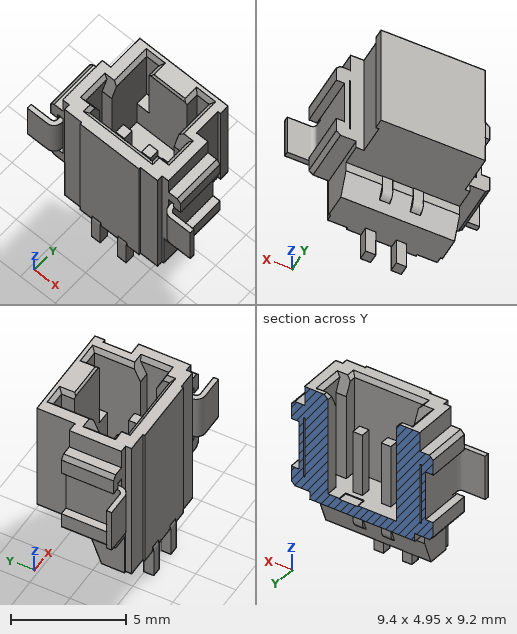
import cadquery as cq


HOUSING_TOP = 7.7
REAR_Y = 4.95
REAR_HALF_WIDTH = 2.55
REAR_BOTTOM = 1.8
KEY_RELIEF = 0.15
KEY_FRONT_Y = 4.45
SIDE_FRONT_Y = 0.45
SIDE_REAR_Y = 3.05
UPPER_HALF_WIDTH = 3.05
LOWER_HALF_WIDTH = 2.78
FRONT_PANEL_HALF_WIDTH = 2.68
FRONT_PANEL_Y = 0.15
FRONT_PAD_HALF_WIDTH = 1.7
FRONT_PAD_Y = 0.05
FOOT_REAR_Y = 2.08
FOOT_TOE_Y = 1.6
FOOT_SLOPE_TOP = 1.25

HOLDER_BOTTOM = 2.2
HOLDER_TOP = 6.7
HOLDER_MIDDLE = (HOLDER_BOTTOM + HOLDER_TOP) / 2
HOLDER_HALF_WIDTH = 3.75
HOLDER_CHAMFER = 0.2
SLOT_OUTER_X = 3.35
SLOT_HEIGHT = 3.1
WINDOW_HEIGHT = 2.5

CLIP_THICKNESS = 0.25
CLIP_TAB_HEIGHT = 2.3
CLIP_TAB_END_X = 4.7
CLIP_SHOULDER_Y = 0.73
CLIP_INNER_RADIUS = 0.2

LEAD_IN = 0.2
CAVITY_HALF_WIDTH = 1.8
CAVITY_FRONT_Y = 0.81
CAVITY_REAR_Y = 4.55
CAVITY_FLOOR = 2.5
GUIDE_HALF_WIDTH = 2.35
GUIDE_FRONT_Y = 1.45
GUIDE_REAR_Y = 2.25
GUIDE_LEAD_IN = 0.4
GUIDE_LEAD_IN_DEPTH = 0.85
RIB_HALF_WIDTH = 1.1
RIB_FRONT_Y = 3.9
RIB_FRONT_LEAD_IN = 0.1
LEDGE_TOP = 4.15

MARK_CENTER = (0.72, 2.82)
MARK_SIZE = (0.97, 0.93)
MARK_DEPTH = 0.05

PITCH = 1.5
CONTACT_SIZE = 0.5
CONTACT_BOTTOM = -1.5
CONTACT_TOP = 5.7
CONTACT_REAR_Y = 2.1
LOWER_BEND_Z = 0.0
UPPER_BEND_Z = 1.05
BEND_RISE = 0.4
BEND_RADIUS = 0.6


def box(x_range, y_range, z_range):
    """Box spanning the given (low, high) ranges."""
    size = [high - low for low, high in (x_range, y_range, z_range)]
    corner = (x_range[0], y_range[0], z_range[0])
    return cq.Workplane("XY").box(*size, centered=False).translate(corner)


def centered_box(half_width, y_range, z_range):
    return box((-half_width, half_width), y_range, z_range)


def around(middle, length):
    return (middle - length / 2, middle + length / 2)


def flared_profile(plane, low, high, low_flare, high_flare, floor, flare_depth, reach):
    """Straight upright band whose sides slope outwards over the last stretch below the housing top."""
    flare_z = HOUSING_TOP - flare_depth
    points = [
        (low, floor),
        (high, floor),
        (high, flare_z),
        (high + high_flare, HOUSING_TOP),
        (low - low_flare, HOUSING_TOP),
        (low, flare_z),
    ]
    return cq.Workplane(plane).polyline(points).close().extrude(reach, both=True)


def flared_prism(half_width, x_flare, x_depth, y_range, y_flares, y_depth, floor):
    """Rectangular prism up to the housing top, flared separately along X and along Y."""
    reach = HOUSING_TOP
    across = flared_profile("XZ", -half_width, half_width, x_flare, x_flare, floor, x_depth, reach)
    along = flared_profile("YZ", *y_range, *y_flares, floor, y_depth, reach)
    return across.intersect(along)


def make_body():
    full_height = (0, HOUSING_TOP)
    upper = (HOLDER_BOTTOM, HOUSING_TOP)
    body = centered_box(UPPER_HALF_WIDTH, (SIDE_FRONT_Y, SIDE_REAR_Y), upper)

    rear_z = (REAR_BOTTOM, HOUSING_TOP)
    body = body.union(centered_box(LOWER_HALF_WIDTH, (SIDE_FRONT_Y, SIDE_REAR_Y), rear_z))
    body = body.union(centered_box(REAR_HALF_WIDTH, (SIDE_FRONT_Y, REAR_Y), rear_z))
    key_relief_x = (REAR_HALF_WIDTH - KEY_RELIEF, REAR_HALF_WIDTH)
    body = body.cut(box(key_relief_x, (SIDE_REAR_Y, KEY_FRONT_Y), rear_z))

    foot_points = [
        (SIDE_FRONT_Y, 0),
        (FOOT_TOE_Y, 0),
        (FOOT_REAR_Y, FOOT_SLOPE_TOP),
        (FOOT_REAR_Y, REAR_BOTTOM),
        (SIDE_FRONT_Y, REAR_BOTTOM),
    ]
    foot = cq.Workplane("YZ").polyline(foot_points).close().extrude(LOWER_HALF_WIDTH, both=True)
    body = body.union(foot)

    body = body.union(centered_box(FRONT_PANEL_HALF_WIDTH, (FRONT_PANEL_Y, SIDE_FRONT_Y), full_height))
    return body.union(centered_box(FRONT_PAD_HALF_WIDTH, (FRONT_PAD_Y, FRONT_PANEL_Y), full_height))


def make_clip_holder():
    """Left-hand C-shaped holder with its clip slot open along Y and a window to the outside."""
    y_range = (SIDE_FRONT_Y, SIDE_REAR_Y)
    block = box((-HOLDER_HALF_WIDTH, -UPPER_HALF_WIDTH), y_range, (HOLDER_BOTTOM, HOLDER_TOP))
    block = block.faces("<X").edges("|Y").chamfer(HOLDER_CHAMFER)
    slot = box((-SLOT_OUTER_X, -UPPER_HALF_WIDTH), y_range, around(HOLDER_MIDDLE, SLOT_HEIGHT))
    window = box((-HOLDER_HALF_WIDTH, -SLOT_OUTER_X), y_range, around(HOLDER_MIDDLE, WINDOW_HEIGHT))
    return block.cut(slot).cut(window)


def make_clip():
    """Left-hand clip: a plate held in the slot, bent outwards into a solder tab at Y = 0."""
    inner_x = CLIP_THICKNESS - SLOT_OUTER_X
    plate = box((-SLOT_OUTER_X, inner_x), (CLIP_SHOULDER_Y, SIDE_REAR_Y), around(HOLDER_MIDDLE, SLOT_HEIGHT))

    outer_radius = CLIP_INNER_RADIUS + CLIP_THICKNESS
    bend_x = inner_x - outer_radius
    bend_y = outer_radius
    tab = (
        cq.Workplane("XY")
        .workplane(offset=HOLDER_MIDDLE - CLIP_TAB_HEIGHT / 2)
        .moveTo(-CLIP_TAB_END_X, 0)
        .lineTo(bend_x, 0)
        .radiusArc((inner_x, bend_y), -outer_radius)
        .lineTo(inner_x, CLIP_SHOULDER_Y)
        .lineTo(-SLOT_OUTER_X, CLIP_SHOULDER_Y)
        .lineTo(-SLOT_OUTER_X, bend_y)
        .radiusArc((bend_x, CLIP_THICKNESS), CLIP_INNER_RADIUS)
        .lineTo(-CLIP_TAB_END_X, CLIP_THICKNESS)
        .close()
        .extrude(CLIP_TAB_HEIGHT)
    )
    return plate.union(tab)


def make_cavity():
    """Space for the plug: main opening with side guide slots, less the rear rib and the ledge beside it."""
    cavity_y = (CAVITY_FRONT_Y, CAVITY_REAR_Y)
    cavity_flares = (LEAD_IN, LEAD_IN)
    cavity = flared_prism(
        CAVITY_HALF_WIDTH, LEAD_IN, LEAD_IN, cavity_y, cavity_flares, LEAD_IN, CAVITY_FLOOR
    )

    rib_y = (RIB_FRONT_Y, REAR_Y)
    rib = flared_prism(
        RIB_HALF_WIDTH, -LEAD_IN, LEAD_IN, rib_y, (-RIB_FRONT_LEAD_IN, 0), RIB_FRONT_LEAD_IN, CAVITY_FLOOR
    )
    ledge = centered_box(CAVITY_HALF_WIDTH, (RIB_FRONT_Y, CAVITY_REAR_Y), (CAVITY_FLOOR, LEDGE_TOP))
    cavity = cavity.cut(rib).cut(ledge)

    guide_y = (GUIDE_FRONT_Y, GUIDE_REAR_Y)
    guide_flares = (GUIDE_LEAD_IN, GUIDE_LEAD_IN)
    guides = flared_prism(
        GUIDE_HALF_WIDTH, LEAD_IN, LEAD_IN, guide_y, guide_flares, GUIDE_LEAD_IN_DEPTH, CAVITY_FLOOR
    )
    mark_x = around(MARK_CENTER[0], MARK_SIZE[0])
    mark_y = around(MARK_CENTER[1], MARK_SIZE[1])
    mark = box(mark_x, mark_y, (CAVITY_FLOOR - MARK_DEPTH, CAVITY_FLOOR))
    return cavity.union(guides).union(mark)


def make_contact(x):
    """Square pin, cranked inside the foot from the cavity forward to the solder leg."""
    post_front_y = CONTACT_REAR_Y - CONTACT_SIZE
    points = [
        (0, CONTACT_BOTTOM),
        (CONTACT_SIZE, CONTACT_BOTTOM),
        (CONTACT_SIZE, LOWER_BEND_Z),
        (CONTACT_REAR_Y, UPPER_BEND_Z - BEND_RISE),
        (CONTACT_REAR_Y, CONTACT_TOP),
        (post_front_y, CONTACT_TOP),
        (post_front_y, UPPER_BEND_Z),
        (0, LOWER_BEND_Z + BEND_RISE),
    ]
    contact = cq.Workplane("YZ").polyline(points).close().extrude(CONTACT_SIZE / 2, both=True)
    lower_bend = cq.selectors.NearestToPointSelector((0, 0, LOWER_BEND_Z + BEND_RISE))
    upper_bend = cq.selectors.NearestToPointSelector((0, CONTACT_REAR_Y, UPPER_BEND_Z - BEND_RISE))
    contact = contact.edges("|X").edges(lower_bend).fillet(BEND_RADIUS)
    contact = contact.edges("|X").edges(upper_bend).fillet(BEND_RADIUS)
    return contact.translate((x, 0, 0))


result = make_body().cut(make_cavity())

for side_part in (make_clip_holder(), make_clip()):
    result = result.union(side_part).union(side_part.mirror("YZ"))

for contact_x in (-PITCH / 2, PITCH / 2):
    result = result.union(make_contact(contact_x))